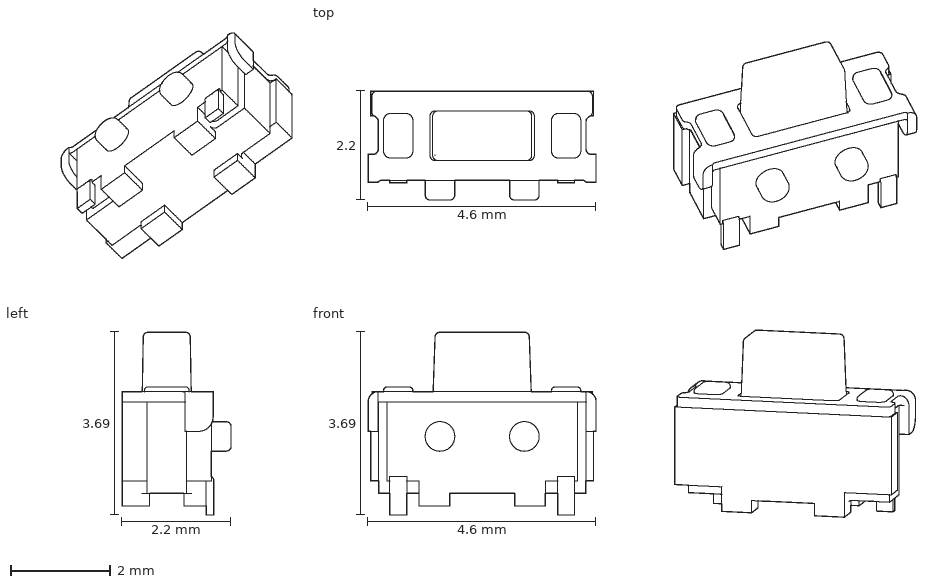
import cadquery as cq
import math


HOUSING_DEPTH = 1.8
FRONT_Y = -HOUSING_DEPTH / 2
BACK_Y = HOUSING_DEPTH / 2
CORE_WIDTH = 4.175
CORE_DEPTH = 0.8
CORE_BOTTOM = -1.85
FRONT_BLOCK_WIDTH = 3.835
BACK_BLOCK_WIDTH = 4.5
BLOCK_BOTTOM = -1.595
KEEL_WIDTH = 2.55
KEEL_FILLET = 0.1

FOOT_BOTTOM = -2.1
FOOT_WIDTH = 0.62
FOOT_INNER_Y = 0.345

TERMINAL_X = 1.695
TERMINAL_WIDTH = 0.345
TERMINAL_THICKNESS = 0.155
TERMINAL_FRONT_Y = -0.95
TERMINAL_BOTTOM = -2.285
TERMINAL_BEND_RADIUS = 0.1

PEG_X = 0.85
PEG_Z = -0.7
PEG_RADIUS = 0.3
PEG_LENGTH = 0.4
PEG_FILLET = 0.1

BUTTON_WIDTH = 1.995
BUTTON_DEPTH = 1.0
BUTTON_TOP = 1.405
BUTTON_END_DRAFT_DEG = 2.0
BUTTON_FACE_DRAFT_DEG = 1.0
BUTTON_FILLET = 0.1

TAB_OUTER_X = 2.3
COVER_THICKNESS = 0.202
COVER_WIDTH = 2 * (TAB_OUTER_X - COVER_THICKNESS)
EAR_WIDTH = 4.445
EAR_SIDE_LENGTH = 0.32
COVER_CORNER_RADIUS = 0.1
SLOT_WIDTH = 2.1
SLOT_DEPTH = 1.005
SLOT_RADIUS = 0.1

TAB_FRONT_Y = -0.94
TAB_BACK_Y = -0.373
TAB_BOTTOM = -0.6
TAB_CORNER_RADIUS = 0.3

POST_X = TERMINAL_X
POST_WIDTH = 0.595
POST_DEPTH = 0.9
POST_RISE = 0.095
POST_CORNER_RADIUS = 0.145
POST_FILLET = 0.07

SIDES = (-1, 1)


def box(x_min, x_max, y_min, y_max, z_min, z_max):
    return cq.Workplane("XY").box(
        x_max - x_min, y_max - y_min, z_max - z_min, centered=False
    ).translate((x_min, y_min, z_min))


def centred_box(width, y_min, y_max, z_min, z_max, x=0):
    return box(x - width / 2, x + width / 2, y_min, y_max, z_min, z_max)


def make_core():
    """Housing core, crossed by a narrower keel that is blended into its front and back."""
    keel = centred_box(KEEL_WIDTH, FRONT_Y, BACK_Y, CORE_BOTTOM, 0)
    core = centred_box(CORE_WIDTH, -CORE_DEPTH / 2, CORE_DEPTH / 2, CORE_BOTTOM, 0)
    margin = KEEL_FILLET
    inner_corners = cq.selectors.BoxSelector(
        (-KEEL_WIDTH / 2 - margin, -CORE_DEPTH / 2 - margin, CORE_BOTTOM),
        (KEEL_WIDTH / 2 + margin, CORE_DEPTH / 2 + margin, 0),
    )
    return core.union(keel).edges("|Z").edges(inner_corners).fillet(KEEL_FILLET)


def make_feet():
    feet = cq.Workplane("XY")
    for side in SIDES:
        x = side * (KEEL_WIDTH - FOOT_WIDTH) / 2
        feet = feet.union(centred_box(FOOT_WIDTH, FRONT_Y, -FOOT_INNER_Y, FOOT_BOTTOM, 0, x))
        feet = feet.union(centred_box(FOOT_WIDTH, FOOT_INNER_Y, BACK_Y, FOOT_BOTTOM, 0, x))
    return feet


def make_terminal(x):
    terminal = centred_box(
        TERMINAL_WIDTH,
        TERMINAL_FRONT_Y,
        TERMINAL_FRONT_Y + TERMINAL_THICKNESS,
        TERMINAL_BOTTOM,
        BLOCK_BOTTOM + TERMINAL_BEND_RADIUS,
        x,
    )
    return terminal.faces(">Z").edges("<Y").fillet(TERMINAL_BEND_RADIUS)


def make_peg(x):
    peg = cq.Workplane("XZ", origin=(x, FRONT_Y, PEG_Z)).circle(PEG_RADIUS).extrude(PEG_LENGTH)
    return peg.faces("<Y").edges().fillet(PEG_FILLET)


def make_button():
    """Button tapering upwards, more on its ends than on its long faces."""
    top_width = BUTTON_WIDTH - 2 * BUTTON_TOP * math.tan(math.radians(BUTTON_END_DRAFT_DEG))
    top_depth = BUTTON_DEPTH - 2 * BUTTON_TOP * math.tan(math.radians(BUTTON_FACE_DRAFT_DEG))
    button = (
        cq.Workplane("XY")
        .rect(BUTTON_WIDTH, BUTTON_DEPTH)
        .workplane(offset=BUTTON_TOP)
        .rect(top_width, top_depth)
        .loft()
    )
    return button.edges("not <Z").fillet(BUTTON_FILLET)


def make_post(x):
    post = cq.Workplane("XY").rect(POST_WIDTH, POST_DEPTH).extrude(COVER_THICKNESS + POST_RISE)
    post = post.edges("|Z").fillet(POST_CORNER_RADIUS)
    return post.faces(">Z").edges().fillet(POST_FILLET).translate((x, 0, 0))


def make_housing():
    housing = (
        make_core()
        .union(centred_box(FRONT_BLOCK_WIDTH, FRONT_Y, 0, BLOCK_BOTTOM, 0))
        .union(centred_box(BACK_BLOCK_WIDTH, CORE_DEPTH / 2, BACK_Y, BLOCK_BOTTOM, 0))
        .union(make_feet())
        .union(make_button())
    )
    for side in SIDES:
        housing = housing.union(make_terminal(side * TERMINAL_X))
        housing = housing.union(make_peg(side * PEG_X))
        housing = housing.union(make_post(side * POST_X))
    return housing.clean()


def make_plate_half():
    """Right half of the flat cover with its back ear."""
    edge_x = COVER_WIDTH / 2
    ear_x = EAR_WIDTH / 2
    r = COVER_CORNER_RADIUS
    corner_inset = r * (1 - math.sqrt(0.5))

    neck_width = ear_x - edge_x
    neck_length = math.sqrt(4 * r * neck_width - neck_width**2)
    ear_end_y = BACK_Y - r - EAR_SIDE_LENGTH
    neck_middle = (ear_x - neck_width / 2, ear_end_y - neck_length / 2)
    neck_end = (edge_x, ear_end_y - neck_length)

    tab_step = FRONT_Y - TAB_FRONT_Y
    relief_x = edge_x - math.sqrt(2 * r * tab_step - tab_step**2)
    return (
        cq.Workplane("XY")
        .moveTo(0, BACK_Y)
        .lineTo(ear_x - r, BACK_Y)
        .threePointArc((ear_x - corner_inset, BACK_Y - corner_inset), (ear_x, BACK_Y - r))
        .lineTo(ear_x, ear_end_y)
        .tangentArcPoint(neck_middle, relative=False)
        .tangentArcPoint(neck_end, relative=False)
        .lineTo(edge_x, TAB_FRONT_Y)
        .radiusArc((relief_x, FRONT_Y), -r)
        .lineTo(0, FRONT_Y)
        .close()
        .extrude(COVER_THICKNESS)
    )


def make_tab():
    """Right-hand tab: a quarter-round bend, then a flat leg down the housing side."""
    edge_x = COVER_WIDTH / 2
    r = COVER_CORNER_RADIUS
    blend_end_y = TAB_BACK_Y + r

    bend = (
        cq.Workplane("XZ", origin=(edge_x, blend_end_y, 0))
        .lineTo(COVER_THICKNESS, 0)
        .radiusArc((0, COVER_THICKNESS), -COVER_THICKNESS)
        .close()
        .extrude(blend_end_y - TAB_FRONT_Y)
    )
    blend_space = (
        cq.Workplane("XY")
        .moveTo(edge_x, blend_end_y)
        .radiusArc((edge_x + r, TAB_BACK_Y), -r)
        .lineTo(TAB_OUTER_X, TAB_BACK_Y)
        .lineTo(TAB_OUTER_X, blend_end_y)
        .close()
        .extrude(COVER_THICKNESS)
    )
    leg = box(edge_x, TAB_OUTER_X, TAB_FRONT_Y, TAB_BACK_Y, TAB_BOTTOM, 0)
    leg = leg.edges("|X and <Y and <Z").fillet(TAB_CORNER_RADIUS)
    return bend.cut(blend_space).union(leg)


def make_cover():
    half = make_plate_half().union(make_tab())
    cover = half.union(half.mirror("YZ"))
    slot = cq.Workplane("XY").rect(SLOT_WIDTH, SLOT_DEPTH).extrude(COVER_THICKNESS)
    cover = cover.cut(slot.edges("|Z").fillet(SLOT_RADIUS))
    for side in SIDES:
        cover = cover.cut(make_post(side * POST_X))
    return cover.clean()


housing = make_housing()
cover = make_cover()
result = cq.Compound.makeCompound([housing.val(), cover.val()])